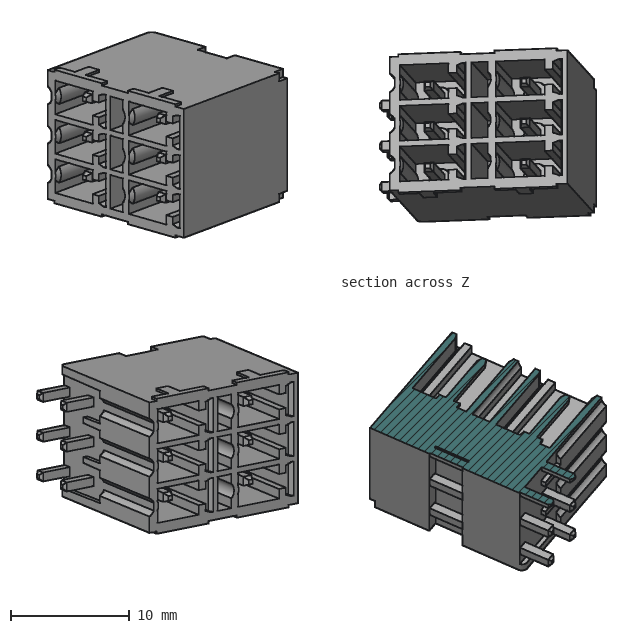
import cadquery as cq
import math


OVERALL_LENGTH = 17.8
OVERALL_HEIGHT = 11.9
HOUSING_WIDTH = 15.24
HOUSING_DEPTH = 13.3
HOUSING_HEIGHT = 11.5
CORNER_RADIUS = 0.53

COLUMN_PITCH = 8.25
ROW_PITCH = 3.5
FIRST_PIN_X = 3.03
COLUMN_OFFSETS = (0.0, COLUMN_PITCH)
ROW_HEIGHTS = (-ROW_PITCH, 0.0, ROW_PITCH)

CHAMBER_DEPTH = 7.37
CHAMBER_HEIGHT = 3.0
CHAMBER_LEFT = 0.85
CHAMBER_RIGHT = 6.35
TOOTH_LEFT = 5.04
TOOTH_RIGHT = 5.75
TOOTH_GAP = 1.32
TOOTH_ROOT_HEIGHT = 2.6
TOOTH_RAMP_END = 6.28
MOUTH_BEVEL_WIDTH = 0.18
MOUTH_BEVEL_DEPTH = 0.5

BUMP_RADIUS = 1.25
BUMP_RISE = 0.23
BUMP_BEVEL_RISE = 0.18
BUMP_BEVEL_DEPTH = 0.5

GROOVE_DEPTH = 0.43
GROOVE_RADIUS = 0.89
GROOVE_AXIS_X = -0.4
SLOT_LEFT = 7.01
SLOT_RIGHT = 8.4

RECESS_EDGE_FRONT = 0.8
RECESS_EDGE_BACK = 0.73
RIB_LENGTH = 2.44
RIB_TIP_WIDTH = 0.52
RIB_ROOT_WIDTH = 0.6

PIN_WIDTH = 0.8
LEG_TIP_LENGTH = 0.23
LEG_TIP_WIDTH = 0.34
CONTACT_TIP_LENGTH = 0.5
CONTACT_TIP_WIDTH = 0.4
CONTACT_TIP_Y = 1.28
FIRST_LEG_Y = 9.3
LEG_PITCH = 3.5
FIRST_COLLAR_ROOT_RADIUS = 1.0
FIRST_COLLAR_TOP_RADIUS = 0.93
SECOND_COLLAR_RADIUS = 1.03
COLLAR_HEIGHT = 0.53

PAD_LEFT = 0.73
PAD_WIDTH = 5.32
PAD_BAR_DEPTH = 0.73
PAD_STEM_WIDTH = 1.2
PAD_LENGTH = 2.5

BACK_CUT_DEPTH = 1.03
NOTCH_LEFT = 6.09
NOTCH_RIGHT = 9.36
CORNER_CUT_WIDTH = 0.5

PAD_THICKNESS = (OVERALL_HEIGHT - HOUSING_HEIGHT) / 2
PIN_PROTRUSION = OVERALL_LENGTH - HOUSING_WIDTH
HALF_HEIGHT = HOUSING_HEIGHT / 2


def block(x_range, y_range, z_range):
    """Box between the given limits along each axis."""
    corner = cq.Vector(x_range[0], y_range[0], z_range[0])
    size = (x_range[1] - x_range[0], y_range[1] - y_range[0], z_range[1] - z_range[0])
    return cq.Workplane(obj=cq.Solid.makeBox(*size, pnt=corner))


def front_sketch(y=0.0):
    """Plane facing the front, with sketch axes along X and Z."""
    return cq.Workplane("XZ", origin=(0, y, 0))


def make_housing():
    body = block((0, HOUSING_WIDTH), (0, HOUSING_DEPTH), (-HALF_HEIGHT, HALF_HEIGHT))
    return body.edges("|Z and <X and >Y").fillet(CORNER_RADIUS)


def make_bump():
    """Cylindrical bump of the chamber's left wall, bevelled at its front end."""
    axis_x = CHAMBER_LEFT + BUMP_RISE - BUMP_RADIUS
    straight_length = CHAMBER_DEPTH - BUMP_BEVEL_DEPTH
    rod = front_sketch(BUMP_BEVEL_DEPTH).center(axis_x, 0).circle(BUMP_RADIUS).extrude(-straight_length)
    bevel = cq.Solid.makeCone(
        BUMP_RADIUS - BUMP_BEVEL_RISE,
        BUMP_RADIUS,
        BUMP_BEVEL_DEPTH,
        cq.Vector(axis_x, 0, 0),
        cq.Vector(0, 1, 0),
    )
    return rod.union(cq.Workplane(obj=bevel))


def make_chamber():
    """Chamber of the first column in the middle row."""
    half = CHAMBER_HEIGHT / 2
    half_gap = TOOTH_GAP / 2
    half_root = TOOTH_ROOT_HEIGHT / 2
    upper = [
        (CHAMBER_LEFT, half),
        (TOOTH_LEFT, half),
        (TOOTH_LEFT, half_gap),
        (TOOTH_RIGHT, half_gap),
        (TOOTH_RIGHT, half_root),
        (TOOTH_RAMP_END, half),
        (CHAMBER_RIGHT, half),
    ]
    lower = [(x, -z) for x, z in reversed(upper)]
    chamber = front_sketch().polyline(upper + lower).close().extrude(-CHAMBER_DEPTH)
    mouth_bevel = (
        cq.Workplane("XY", origin=(0, 0, -half))
        .moveTo(CHAMBER_RIGHT, 0)
        .lineTo(CHAMBER_RIGHT + MOUTH_BEVEL_WIDTH, 0)
        .lineTo(CHAMBER_RIGHT, MOUTH_BEVEL_DEPTH)
        .close()
        .extrude(CHAMBER_HEIGHT)
    )
    return chamber.union(mouth_bevel).cut(make_bump())


def make_groove():
    """Round groove of the left face with a flat bottom level with the recess."""
    rod = front_sketch().center(GROOVE_AXIS_X, 0).circle(GROOVE_RADIUS).extrude(-CHAMBER_DEPTH)
    reach = (-GROOVE_RADIUS, GROOVE_RADIUS)
    return rod.intersect(block((0, GROOVE_DEPTH), (0, CHAMBER_DEPTH), reach))


def make_slot():
    """Slot between the columns, with a round bulge as deep as a groove."""
    half = CHAMBER_HEIGHT / 2
    bulge_tip = COLUMN_PITCH + GROOVE_DEPTH
    axis_x = bulge_tip - GROOVE_RADIUS
    half_chord = math.sqrt(GROOVE_RADIUS**2 - (SLOT_RIGHT - axis_x) ** 2)
    return (
        front_sketch()
        .moveTo(SLOT_LEFT, -half)
        .lineTo(SLOT_RIGHT, -half)
        .lineTo(SLOT_RIGHT, -half_chord)
        .threePointArc((bulge_tip, 0), (SLOT_RIGHT, half_chord))
        .lineTo(SLOT_RIGHT, half)
        .lineTo(SLOT_LEFT, half)
        .close()
        .extrude(-CHAMBER_DEPTH)
    )


def make_recess():
    """Shallow recess of the left face, with tapering edges and a rib between rows."""
    front_z = HALF_HEIGHT - RECESS_EDGE_FRONT
    back_z = HALF_HEIGHT - RECESS_EDGE_BACK
    recess = (
        cq.Workplane("YZ")
        .moveTo(CHAMBER_DEPTH, -front_z)
        .lineTo(HOUSING_DEPTH, -back_z)
        .lineTo(HOUSING_DEPTH, back_z)
        .lineTo(CHAMBER_DEPTH, front_z)
        .close()
        .extrude(GROOVE_DEPTH)
    )
    rib_tip_y = CHAMBER_DEPTH + RIB_LENGTH
    for rib_z in (-ROW_PITCH / 2, ROW_PITCH / 2):
        rib = (
            cq.Workplane("YZ")
            .moveTo(CHAMBER_DEPTH, rib_z - RIB_ROOT_WIDTH / 2)
            .lineTo(rib_tip_y, rib_z - RIB_TIP_WIDTH / 2)
            .lineTo(rib_tip_y, rib_z + RIB_TIP_WIDTH / 2)
            .lineTo(CHAMBER_DEPTH, rib_z + RIB_ROOT_WIDTH / 2)
            .close()
            .extrude(GROOVE_DEPTH)
        )
        recess = recess.cut(rib)
    return recess


def make_back_cuts():
    """Notch through the back edge and the cuts of its right-hand corners."""
    cut_y = (HOUSING_DEPTH - BACK_CUT_DEPTH, HOUSING_DEPTH)
    corner_x = (HOUSING_WIDTH - CORNER_CUT_WIDTH, HOUSING_WIDTH)
    wall_bottom = HALF_HEIGHT - RECESS_EDGE_BACK
    cuts = block((NOTCH_LEFT, NOTCH_RIGHT), cut_y, (-HALF_HEIGHT, HALF_HEIGHT))
    cuts = cuts.union(block(corner_x, cut_y, (wall_bottom, HALF_HEIGHT)))
    return cuts.union(block(corner_x, cut_y, (-HALF_HEIGHT, -wall_bottom)))


def make_pads(offset):
    """T-shaped pads above and below one column."""
    bar_x = (PAD_LEFT + offset, PAD_LEFT + PAD_WIDTH + offset)
    stem_x = (FIRST_PIN_X - PAD_STEM_WIDTH / 2 + offset, FIRST_PIN_X + PAD_STEM_WIDTH / 2 + offset)
    pads = cq.Workplane()
    for bottom in (HALF_HEIGHT, -HALF_HEIGHT - PAD_THICKNESS):
        pad_z = (bottom, bottom + PAD_THICKNESS)
        pads = pads.add(block(bar_x, (0, PAD_BAR_DEPTH), pad_z))
        pads = pads.add(block(stem_x, (0, PAD_LENGTH), pad_z))
    return pads.combine()


def tapered_bar(plane, length, tip_length, tip_width):
    """Square bar along the plane normal, ending in a pyramid-shaped tip."""
    shoulder = length - tip_length
    bar = cq.Workplane(plane).rect(PIN_WIDTH, PIN_WIDTH).extrude(shoulder)
    tip = (
        cq.Workplane(plane)
        .workplane(offset=shoulder)
        .rect(PIN_WIDTH, PIN_WIDTH)
        .workplane(offset=tip_length)
        .rect(tip_width, tip_width)
        .loft(ruled=True)
    )
    return bar.union(tip)


def make_pin(pin_x, leg_y):
    """L-shaped pin: a contact pointing to the front and a leg pointing to the left."""
    half = PIN_WIDTH / 2
    contact_plane = cq.Plane((pin_x, leg_y + half, 0), (1, 0, 0), (0, -1, 0))
    leg_plane = cq.Plane((pin_x + half, leg_y, 0), (0, 1, 0), (-1, 0, 0))
    contact_length = leg_y + half - CONTACT_TIP_Y
    leg_length = pin_x + half + PIN_PROTRUSION
    contact = tapered_bar(contact_plane, contact_length, CONTACT_TIP_LENGTH, CONTACT_TIP_WIDTH)
    leg = tapered_bar(leg_plane, leg_length, LEG_TIP_LENGTH, LEG_TIP_WIDTH)
    return contact.union(leg)


def make_collar(pin_x, root_radius, top_radius):
    """Round collar around a contact on the chamber floor."""
    base = cq.Vector(pin_x, CHAMBER_DEPTH, 0)
    toward_front = cq.Vector(0, -1, 0)
    if root_radius == top_radius:
        collar = cq.Solid.makeCylinder(root_radius, COLLAR_HEIGHT, base, toward_front)
    else:
        collar = cq.Solid.makeCone(root_radius, top_radius, COLLAR_HEIGHT, base, toward_front)
    return cq.Workplane(obj=collar)


chamber = make_chamber()
groove = make_groove()
slot = make_slot()
first_pin = make_pin(FIRST_PIN_X, FIRST_LEG_Y)
second_pin = make_pin(FIRST_PIN_X + COLUMN_PITCH, FIRST_LEG_Y + LEG_PITCH)
first_collar = make_collar(FIRST_PIN_X, FIRST_COLLAR_ROOT_RADIUS, FIRST_COLLAR_TOP_RADIUS)
second_collar = make_collar(FIRST_PIN_X + COLUMN_PITCH, SECOND_COLLAR_RADIUS, SECOND_COLLAR_RADIUS)

result = make_housing().cut(make_recess()).cut(make_back_cuts())
for offset in COLUMN_OFFSETS:
    result = result.union(make_pads(offset))
for row_z in ROW_HEIGHTS:
    for offset in COLUMN_OFFSETS:
        result = result.cut(chamber.translate((offset, 0, row_z)))
    result = result.cut(groove.translate((0, 0, row_z)))
    result = result.cut(slot.translate((0, 0, row_z)))
    for addition in (first_collar, second_collar, first_pin, second_pin):
        result = result.union(addition.translate((0, 0, row_z)))